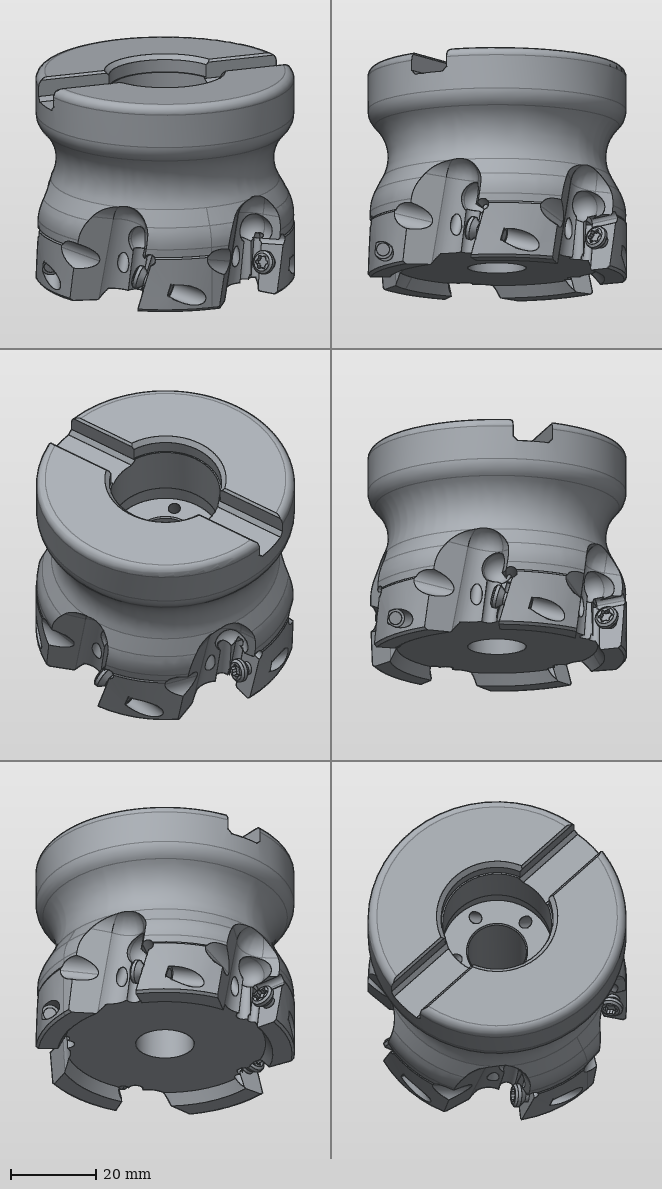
import cadquery as cq
import math

HEIGHT = 50.2
CUTTER_RADIUS = 30.4
FLUTE_COUNT = 5
FLUTE_ANGLE = -90.0

SHANK_RADIUS = 30.3
RIM_FILLET = 2.05
SHANK_BOTTOM_Z = 40.2
SHOULDER_RADIUS = 5.2
SHOULDER_TURN = 46.0
WAIST_ARC_RADIUS = 10.35
CONE_SLOPE = 28.8
CONE_TOP_Z = 24.0
CONE_BOTTOM_Z = 20.2
NECK_BOTTOM_Z = 13.3
RING_TOP_Z = 12.9
EDGE_CHAMFER = 0.6

BORE_RADIUS = 12.8
BORE_DEPTH = 19.75
LOWER_RELIEF_DEPTH = 15.95
BORE_FLOOR_Z = HEIGHT - BORE_DEPTH
RELIEF_RADIUS = 13.15
RELIEF_DEPTH = 4.1
MOUTH_CHAMFER = 1.1
BOLT_HOLE_RADIUS = 6.9
BOLT_HOLE_CHAMFER = 0.3
RECESS_RADIUS = 25.3
RECESS_TOP_RADIUS = 23.6
RECESS_DEPTH = 2.7

SLOT_HALF_WIDTH = 4.8
SLOT_DEPTH = 5.5
SLOT_TOP_CHAMFER = 0.55
SLOT_FLOOR_CHAMFER = 1.05

FLUTE_FLOOR_X = 18.85
FLUTE_CREASE_Y = -16.6
FLUTE_TURN = 5.0
FLUTE_LEAN = cq.Vector(0.12, 0.16, 1.0)
FLUTE_UNDERCUT = 20.0
FLUTE_WALL_ANGLE = 88.0
FLUTE_ARC_RADIUS = 5.25
FLUTE_LENGTH = 25.8
FLUTE_CAP_RADIUS = 5.0
FLUTE_LEAD = 6.1
FLUTE_OVERLAP = 1.8
FLUTE_REACH = 18.25

SCREW_CENTRE = cq.Vector(26.05, -7.5, 7.4)
SCREW_DIRECTION = cq.Vector(-0.33, -0.9, 0.27)
SEAT_DEPTH = 2.45
HEAD_FRONT = 1.1
HEAD_RADIUS = 2.75
HEAD_FACE_RADIUS = 2.1
HEAD_EDGE = 0.5
HEAD_BAND = 0.85
HEAD_TAPER = 1.35
SHANK_PIN_RADIUS = 1.5
SCREW_LENGTH = 9.1
EXIT_HOLE_RADIUS = 2.2
ACCESS_START = cq.Vector(23.85, -15.6, 9.2)
ACCESS_RADIUS = 3.15
STAR_RADIUS = 1.35
STAR_LOBE_RADIUS = 0.35
STAR_LOBES = 6
STAR_DEPTH = 1.2

POCKET_INNER_X = -3.8
POCKET_TOP_Y = 5.6
POCKET_THICKNESS = 4.25
POCKET_REACH = 18.25
CORNER_GROOVE_X = -3.85
CORNER_GROOVE_RADIUS = 1.2
TOP_GROOVE_RADIUS = 1.35
GROOVE_Z = 0.6

CHANNEL_TOP = cq.Vector(21.45, -6.9, 12.8)
CHANNEL_LEAN = cq.Vector(0, 0.13, 1.0)
CHANNEL_RADIUS = 1.75

RELIEF_BALL_CENTRE = cq.Vector(22.6, -6.45, 15.2)
RELIEF_BALL_RADIUS = 3.65
RELIEF_BALL_DIRECTION = cq.Vector(0.7, -0.7, 0)
RELIEF_BALL_LENGTH = 12.15
COOLANT_START = cq.Vector(8.5, -5.3, BORE_FLOOR_Z)
COOLANT_END = cq.Vector(20.1, -10.95, 9.1)
COOLANT_RADIUS = 1.4
COOLANT_RUN_OUT = 2.45

AXIS = ((0, 0, 0), (0, 1, 0))


def rod(start, direction, radius, length):
    return cq.Solid.makeCylinder(radius, length, start, direction)


def screw_plane(distance):
    """Plane across the screw, at a distance along it from the head centre."""
    normal = SCREW_DIRECTION.normalized()
    origin = SCREW_CENTRE + normal * distance
    outward = cq.Vector(1, 0, 0) - normal * normal.x
    return cq.Plane(origin, outward, normal)


def blank():
    """Turned outside of the body, with its rim fillet and lower chamfer."""
    shoulder = math.radians(SHOULDER_TURN)
    slope = math.radians(CONE_SLOPE)

    def arc_drop(radius, angle):
        return radius * (1 - math.cos(angle))

    shoulder_r = SHANK_RADIUS - arc_drop(SHOULDER_RADIUS, shoulder)
    shoulder_z = SHANK_BOTTOM_Z - SHOULDER_RADIUS * math.sin(shoulder)
    shoulder_mid = (
        SHANK_RADIUS - arc_drop(SHOULDER_RADIUS, shoulder / 2),
        SHANK_BOTTOM_Z - SHOULDER_RADIUS * math.sin(shoulder / 2),
    )
    waist_r = shoulder_r - arc_drop(WAIST_ARC_RADIUS, shoulder)
    waist_z = shoulder_z - WAIST_ARC_RADIUS * math.sin(shoulder)
    cone_top_r = waist_r + arc_drop(WAIST_ARC_RADIUS, slope)
    cone_bottom_r = cone_top_r + (CONE_TOP_Z - CONE_BOTTOM_Z) * math.tan(slope)
    neck_arc = WAIST_ARC_RADIUS
    neck_r = cone_bottom_r + arc_drop(neck_arc, slope)
    neck_z = CONE_BOTTOM_Z - neck_arc * math.sin(slope)
    neck_mid = (
        neck_r - arc_drop(neck_arc, slope / 2),
        neck_z + neck_arc * math.sin(slope / 2),
    )
    rim_mid = RIM_FILLET * (1 - math.sqrt(0.5))
    return (
        cq.Workplane("XZ")
        .moveTo(0, 0)
        .lineTo(CUTTER_RADIUS - EDGE_CHAMFER, 0)
        .lineTo(CUTTER_RADIUS, EDGE_CHAMFER)
        .lineTo(CUTTER_RADIUS, RING_TOP_Z)
        .lineTo(neck_r, NECK_BOTTOM_Z)
        .lineTo(neck_r, neck_z)
        .threePointArc(neck_mid, (cone_bottom_r, CONE_BOTTOM_Z))
        .lineTo(cone_top_r, CONE_TOP_Z)
        .threePointArc((waist_r, waist_z), (shoulder_r, shoulder_z))
        .threePointArc(shoulder_mid, (SHANK_RADIUS, SHANK_BOTTOM_Z))
        .lineTo(SHANK_RADIUS, HEIGHT - RIM_FILLET)
        .threePointArc(
            (SHANK_RADIUS - rim_mid, HEIGHT - rim_mid), (SHANK_RADIUS - RIM_FILLET, HEIGHT)
        )
        .lineTo(0, HEIGHT)
        .close()
        .revolve(360, *AXIS)
    )


def bore():
    """Stepped bore, bolt hole and underside recess as one turned cutter."""
    return (
        cq.Workplane("XZ")
        .polyline([
            (0, 0),
            (RECESS_RADIUS, 0),
            (RECESS_TOP_RADIUS, RECESS_DEPTH),
            (BOLT_HOLE_RADIUS, RECESS_DEPTH),
            (BOLT_HOLE_RADIUS, BORE_FLOOR_Z - BOLT_HOLE_CHAMFER),
            (BOLT_HOLE_RADIUS + BOLT_HOLE_CHAMFER, BORE_FLOOR_Z),
            (RELIEF_RADIUS, BORE_FLOOR_Z),
            (RELIEF_RADIUS, HEIGHT - LOWER_RELIEF_DEPTH),
            (BORE_RADIUS, HEIGHT - LOWER_RELIEF_DEPTH),
            (BORE_RADIUS, HEIGHT - RELIEF_DEPTH),
            (RELIEF_RADIUS, HEIGHT - RELIEF_DEPTH),
            (RELIEF_RADIUS, HEIGHT - MOUTH_CHAMFER),
            (RELIEF_RADIUS + MOUTH_CHAMFER, HEIGHT),
            (0, HEIGHT),
        ])
        .close()
        .revolve(360, *AXIS)
    )


def drive_slot():
    """Slot across the top, chamfered at its mouth and along its floor."""
    right_side = [
        (SLOT_HALF_WIDTH - SLOT_FLOOR_CHAMFER, HEIGHT - SLOT_DEPTH),
        (SLOT_HALF_WIDTH, HEIGHT - SLOT_DEPTH + SLOT_FLOOR_CHAMFER),
        (SLOT_HALF_WIDTH, HEIGHT - SLOT_TOP_CHAMFER),
        (SLOT_HALF_WIDTH + SLOT_TOP_CHAMFER, HEIGHT),
    ]
    left_side = [(-x, z) for x, z in reversed(right_side)]
    return (
        cq.Workplane("XZ")
        .polyline(right_side + left_side)
        .close()
        .extrude(CUTTER_RADIUS, both=True)
    )


def flute():
    """Leaning chip flute: a flat-floored cut and a curved cut, both rounded at the top end."""
    lean = FLUTE_LEAN.normalized()
    turn = math.radians(FLUTE_TURN)
    facing = cq.Vector(math.cos(turn), math.sin(turn), 0)
    outward = facing - lean * facing.dot(lean)
    crease = cq.Vector(FLUTE_FLOOR_X, FLUTE_CREASE_Y, 0)
    base = cq.Workplane(cq.Plane(crease - lean * FLUTE_LEAD, outward, lean))
    top = crease + lean * FLUTE_LENGTH
    height = FLUTE_LENGTH + FLUTE_LEAD

    undercut = math.radians(FLUTE_UNDERCUT)
    start = -math.pi / 2
    end = math.radians(FLUTE_WALL_ANGLE)
    centre = (FLUTE_ARC_RADIUS * math.cos(undercut), FLUTE_ARC_RADIUS * math.sin(undercut))

    def arc_point(angle):
        return (
            centre[0] - FLUTE_ARC_RADIUS * math.cos(angle),
            centre[1] + FLUTE_ARC_RADIUS * math.sin(angle),
        )

    wall_start = arc_point(end)
    wall_end = (
        wall_start[0] + FLUTE_REACH * math.sin(end),
        wall_start[1] + FLUTE_REACH * math.cos(end),
    )
    floor_cut = (
        base.moveTo(0, -FLUTE_REACH)
        .lineTo(0, FLUTE_OVERLAP)
        .lineTo(FLUTE_REACH, FLUTE_OVERLAP)
        .lineTo(FLUTE_REACH, -FLUTE_REACH)
        .close()
        .extrude(height)
        .edges(cq.selectors.NearestToPointSelector(top.toTuple()))
        .fillet(FLUTE_CAP_RADIUS)
    )
    arc_top = base.plane.toWorldCoords((*arc_point(0), height))
    curved_cut = (
        base.moveTo(*arc_point(start))
        .threePointArc(arc_point(0), wall_start)
        .lineTo(*wall_end)
        .lineTo(wall_end[0], arc_point(start)[1])
        .close()
        .extrude(height)
        .edges(cq.selectors.NearestToPointSelector(arc_top.toTuple()))
        .fillet(FLUTE_CAP_RADIUS)
    )
    return [floor_cut.val(), curved_cut.val()]


def seat_cutters():
    """Pocket in front of the seat face, with its grooves and channel."""
    seat = screw_plane(-SEAT_DEPTH)
    pocket = (
        cq.Workplane(seat)
        .moveTo(POCKET_INNER_X, POCKET_TOP_Y)
        .lineTo(POCKET_REACH, POCKET_TOP_Y)
        .lineTo(POCKET_REACH, -POCKET_REACH)
        .lineTo(POCKET_INNER_X, -POCKET_REACH)
        .close()
        .extrude(POCKET_THICKNESS)
        .val()
    )

    def groove(start, direction, radius):
        line = seat.toWorldCoords(direction) - seat.origin
        return rod(seat.toWorldCoords(start), line, radius, 2 * POCKET_REACH)

    corner_start = (CORNER_GROOVE_X, POCKET_TOP_Y, GROOVE_Z)
    corner = groove(corner_start, (0, -0.6, 0), CORNER_GROOVE_RADIUS)
    top_start = (POCKET_INNER_X, POCKET_TOP_Y, GROOVE_Z)
    top = groove(top_start, (0.6, 0, 0), TOP_GROOVE_RADIUS)
    channel = rod(CHANNEL_TOP, -CHANNEL_LEAN, CHANNEL_RADIUS, POCKET_REACH)
    return [pocket, corner, top, channel]


def screw_holes():
    """Driver access, the screw's own hole and its wider exit, all parallel to the screw."""
    toward_head = SCREW_DIRECTION.normalized()
    end = SCREW_CENTRE + toward_head * (HEAD_FRONT - SCREW_LENGTH)
    access = rod(ACCESS_START, toward_head, ACCESS_RADIUS, POCKET_REACH)
    own = rod(end, toward_head, SHANK_PIN_RADIUS, SCREW_LENGTH)
    leave = rod(end, -toward_head, EXIT_HOLE_RADIUS, POCKET_REACH)
    return [access, own, leave]


def ball_relief():
    """Ball-ended relief that runs outward above the seat."""
    ball = cq.Workplane("XY").sphere(RELIEF_BALL_RADIUS).translate(RELIEF_BALL_CENTRE).val()
    throat = rod(RELIEF_BALL_CENTRE, RELIEF_BALL_DIRECTION, RELIEF_BALL_RADIUS, RELIEF_BALL_LENGTH)
    return [ball, throat]


def coolant_hole():
    """Slanting hole from the bore floor to the flute."""
    line = COOLANT_END - COOLANT_START
    start = COOLANT_START - line.normalized() * COOLANT_RUN_OUT
    return rod(start, line, COOLANT_RADIUS, line.Length + 2 * COOLANT_RUN_OUT)


def screw():
    """Screw with a tapered head, a straight shank and a six-lobed socket."""
    z_edge = HEAD_FRONT - HEAD_EDGE
    z_band = z_edge - HEAD_BAND
    z_taper = z_band - HEAD_TAPER
    plane = screw_plane(0)
    across = cq.Plane(plane.origin, plane.xDir, -plane.yDir)
    turned = (
        cq.Workplane(across)
        .polyline([
            (0, HEAD_FRONT),
            (HEAD_FACE_RADIUS, HEAD_FRONT),
            (HEAD_RADIUS, z_edge),
            (HEAD_RADIUS, z_band),
            (SHANK_PIN_RADIUS, z_taper),
            (SHANK_PIN_RADIUS, HEAD_FRONT - SCREW_LENGTH),
            (0, HEAD_FRONT - SCREW_LENGTH),
        ])
        .close()
        .revolve(360, *AXIS)
    )
    floor = cq.Workplane(screw_plane(HEAD_FRONT - STAR_DEPTH))
    socket = floor.circle(STAR_RADIUS).extrude(STAR_DEPTH)
    lobe_centres = floor.polarArray(STAR_RADIUS, 0, 360, STAR_LOBES)
    lobes = lobe_centres.circle(STAR_LOBE_RADIUS).extrude(STAR_DEPTH)
    return turned.cut(socket).cut(lobes).val()


flute_angles = [FLUTE_ANGLE + 360 / FLUTE_COUNT * i for i in range(FLUTE_COUNT)]


def around_body(shape):
    return [shape.rotate((0, 0, 0), (0, 0, 1), angle) for angle in flute_angles]


cutters = [*flute(), *seat_cutters(), *screw_holes(), *ball_relief(), coolant_hole()]
cut_body = blank().cut(bore()).cut(drive_slot()).val()
for cutter in cutters:
    cut_body = cut_body.cut(*around_body(cutter))

body = max(cut_body.Solids(), key=lambda piece: piece.Volume())
screws = around_body(screw())

result = cq.Compound.makeCompound([body, *screws])